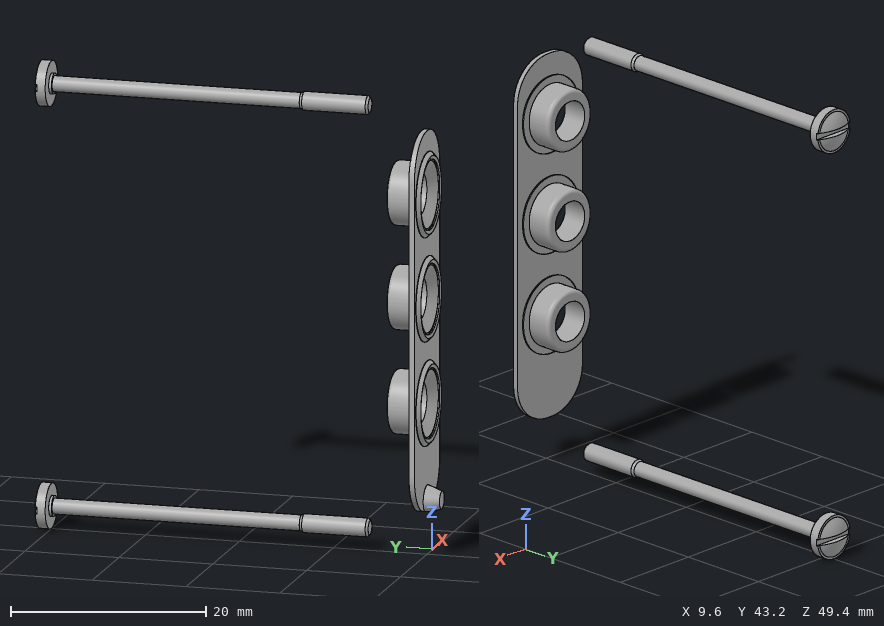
import cadquery as cq
import math

PLATE_WIDTH = 9.6
PLATE_HEIGHT = 40.0
PLATE_THICKNESS = 0.6
PLATE_CORNER_RADIUS = 4.5

BUSHING_PITCH = 11.0
MIDDLE_BUSHING_Z = 2.25
BUSHING_Z = [MIDDLE_BUSHING_Z + step * BUSHING_PITCH for step in (-1, 0, 1)]
STRETCH = 0.35
UPRIGHT = 90
FLANGE_RADIUS = 4.3
FLANGE_HEIGHT = 0.45
FLANGE_CHAMFER = 0.4
PAD_RADIUS = 4.05
PAD_HEIGHT = 0.15
BARREL_RADIUS = 3.2
BARREL_BACK_Y = 3.45
BARREL_ROUNDING = 0.45

MOUTH_RADIUS = FLANGE_RADIUS - FLANGE_CHAMFER
MOUTH_FLOOR_RADIUS = 3.5
MOUTH_TAPER_DEPTH = 0.1
MOUTH_WALL_DEPTH = 0.15
FUNNEL_RADIUS = MOUTH_FLOOR_RADIUS
BORE_RADIUS = 4.3 / 2
FUNNEL_DEPTH = 0.85

PEG_BASE_RADIUS = 1.5
PEG_TIP_RADIUS = 0.95
PEG_HEIGHT = 1.6
PEG_RISE = 1.15

OVERALL_DEPTH = 43.2
OVERALL_HEIGHT = 49.4
HEAD_RADIUS = 4.8 / 2
HEAD_RIM = 1.1
DOME_RADIUS = 2.1
DOME_HEIGHT = 0.5
SLOT_WIDTH = 0.7
SLOT_DEPTH = 0.7
COLLAR_RADIUS = 1.1
COLLAR_HEIGHT = 0.3
SHANK_RADIUS = 1.7 / 2
THREAD_RADIUS = 2.0 / 2
THREAD_LENGTH = 7.0
THREAD_RUNOUT = 0.3
TIP_Y = 6.1
TIP_RADIUS = 0.75
TIP_CHAMFER_LENGTH = 0.25
HEAD_TOP_Y = OVERALL_DEPTH - PEG_HEIGHT
SCREW_Z = OVERALL_HEIGHT / 2 - HEAD_RADIUS


def plane_at(y, z=0.0):
    """Plane facing -Y, with local x along X and local y along Z."""
    return cq.Workplane(cq.Plane(origin=(0, y, z), xDir=(1, 0, 0), normal=(0, -1, 0)))


def stretched_round(front_y, back_y, radius, z):
    """Prism along Y whose section is a circle stretched in Z."""
    return plane_at(back_y, z).slot2D(2 * radius + STRETCH, 2 * radius, UPRIGHT).extrude(back_y - front_y)


def revolved(points):
    """Round body about the Y axis from (radius, y) points; the axis closes the outline."""
    return cq.Workplane("XY").polyline(points).close().revolve(360, (0, 0, 0), (0, 1, 0))


def plate_outline_prism(front_y, back_y):
    blank = plane_at(back_y).rect(PLATE_WIDTH, PLATE_HEIGHT).extrude(back_y - front_y)
    return blank.edges("|Y").fillet(PLATE_CORNER_RADIUS)


def make_bushing(z):
    flange = stretched_round(-FLANGE_HEIGHT, 0, FLANGE_RADIUS, z).faces("<Y").chamfer(FLANGE_CHAMFER)
    pad = stretched_round(0, PLATE_THICKNESS + PAD_HEIGHT, PAD_RADIUS, z)
    barrel = stretched_round(0, BARREL_BACK_Y, BARREL_RADIUS, z).faces(">Y").edges().fillet(BARREL_ROUNDING)
    return flange.union(pad).union(barrel)


def make_opening(z):
    """Tapered mouth with a short straight wall, both stretched, then a round funnel and through bore."""
    taper_end_y = MOUTH_TAPER_DEPTH - FLANGE_HEIGHT
    mouth_floor_y = taper_end_y + MOUTH_WALL_DEPTH
    funnel_end_y = mouth_floor_y + FUNNEL_DEPTH
    taper = (
        plane_at(taper_end_y, z)
        .slot2D(2 * MOUTH_FLOOR_RADIUS + STRETCH, 2 * MOUTH_FLOOR_RADIUS, UPRIGHT)
        .workplane(offset=MOUTH_TAPER_DEPTH)
        .slot2D(2 * MOUTH_RADIUS + STRETCH, 2 * MOUTH_RADIUS, UPRIGHT)
        .loft(ruled=True)
    )
    wall = stretched_round(taper_end_y, mouth_floor_y, MOUTH_FLOOR_RADIUS, z)
    passage = revolved([
        (0, mouth_floor_y),
        (FUNNEL_RADIUS, mouth_floor_y),
        (BORE_RADIUS, funnel_end_y),
        (BORE_RADIUS, BARREL_BACK_Y),
        (0, BARREL_BACK_Y),
    ]).translate((0, 0, z))
    return taper.union(wall).union(passage)


def make_peg():
    bottom_z = -PLATE_HEIGHT / 2
    cone = revolved([
        (0, 0),
        (PEG_BASE_RADIUS, 0),
        (PEG_TIP_RADIUS, -PEG_HEIGHT),
        (0, -PEG_HEIGHT),
    ]).translate((0, 0, bottom_z + PEG_RISE))
    return cone.intersect(plate_outline_prism(-PEG_HEIGHT, 0))


def make_strap():
    strap = plate_outline_prism(0, PLATE_THICKNESS).union(make_peg())
    for z in BUSHING_Z:
        strap = strap.union(make_bushing(z))
    for z in BUSHING_Z:
        strap = strap.cut(make_opening(z))
    return strap


def make_screw(z):
    rim_top_y = HEAD_TOP_Y - DOME_HEIGHT
    seat_y = rim_top_y - HEAD_RIM
    thread_top_y = TIP_Y + THREAD_LENGTH
    sphere_radius = (DOME_RADIUS ** 2 + DOME_HEIGHT ** 2) / (2 * DOME_HEIGHT)
    mid_radius = DOME_RADIUS / 2
    mid_y = HEAD_TOP_Y - sphere_radius + math.sqrt(sphere_radius ** 2 - mid_radius ** 2)
    profile = (
        cq.Workplane("XY")
        .moveTo(0, TIP_Y)
        .lineTo(TIP_RADIUS, TIP_Y)
        .lineTo(THREAD_RADIUS, TIP_Y + TIP_CHAMFER_LENGTH)
        .lineTo(THREAD_RADIUS, thread_top_y)
        .lineTo(SHANK_RADIUS, thread_top_y + THREAD_RUNOUT)
        .lineTo(SHANK_RADIUS, seat_y - COLLAR_HEIGHT)
        .lineTo(COLLAR_RADIUS, seat_y - COLLAR_HEIGHT)
        .lineTo(COLLAR_RADIUS, seat_y)
        .lineTo(HEAD_RADIUS, seat_y)
        .lineTo(HEAD_RADIUS, rim_top_y)
        .lineTo(DOME_RADIUS, rim_top_y)
        .threePointArc((mid_radius, mid_y), (0, HEAD_TOP_Y))
        .close()
    )
    body = profile.revolve(360, (0, 0, 0), (0, 1, 0))
    slot = (
        cq.Workplane("XY")
        .box(2 * HEAD_RADIUS, 2 * SLOT_DEPTH, SLOT_WIDTH)
        .translate((0, HEAD_TOP_Y, 0))
    )
    return body.cut(slot).translate((0, 0, z))


strap = make_strap()
screws = [make_screw(z) for z in (-SCREW_Z, SCREW_Z)]
result = cq.Compound.makeCompound([strap.val(), *[screw.val() for screw in screws]])